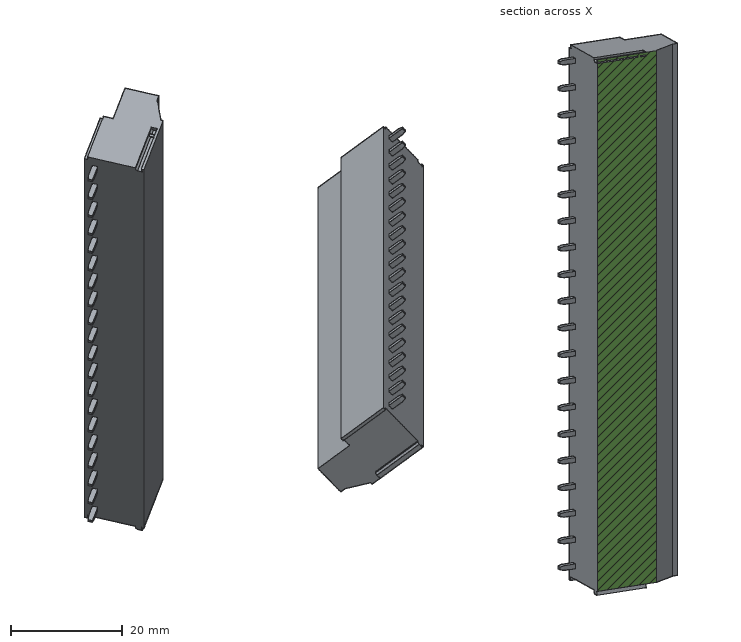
import cadquery as cq

pole_count = 20
total_height = 100.6
tongue_depth = 0.7
housing_height = total_height - tongue_depth
pitch = housing_height / pole_count
housing_width = 11.2
total_depth = 20.5
pin_length = 3.1
housing_depth = total_depth - pin_length
shoulder_depth = 10.0
shoulder_width = 2.4
nose_right = 8.8
slope_start_depth = 16.4
ledge_depth = 12.1
ledge_width = 0.4

pin_x = 2.0
pin_width = 1.0
pin_thickness = 0.9
pin_tip_length = 0.8
pin_tip_width = 0.8
pin_tip_thickness = 0.5

edge_tongue_width = 0.6
hook_left = 9.6
hook_right = 10.7
hook_overhang = 0.2
hook_chamfer_width = 0.4
hook_chamfer_height = 0.3
detent_start = 8.3
detent_length = 0.6
detent_height = 0.2


def rail(section, start=0.0, length=shoulder_depth):
    """Extrude an XZ section towards +Y, beginning at the given Y."""
    plane = cq.Workplane("XZ", origin=(0, start, 0))
    return plane.polyline(section).close().extrude(-length)


def edge_section(base_z):
    """Section of the coupling step along the -X edge."""
    return [
        (0, base_z),
        (edge_tongue_width, base_z),
        (edge_tongue_width, base_z + tongue_depth),
        (0, base_z + tongue_depth),
    ]


def hook_section(base_z):
    """Section of the coupling hook: undercut on the +X flank, chamfered on the other."""
    return [
        (hook_left + hook_chamfer_width, base_z),
        (hook_right + hook_overhang, base_z),
        (hook_right, base_z + tongue_depth),
        (hook_left, base_z + tongue_depth),
        (hook_left, base_z + hook_chamfer_height),
    ]


def detent_section(base_z):
    """Section of the low rib that spans the hook rebate from flank to flank."""
    rise = detent_height
    left_shift = hook_chamfer_width * (1 - rise / hook_chamfer_height)
    right_shift = hook_overhang * (1 - rise / tongue_depth)
    return [
        (hook_left + hook_chamfer_width, base_z),
        (hook_right + hook_overhang, base_z),
        (hook_right + right_shift, base_z + rise),
        (hook_left + left_shift, base_z + rise),
    ]


def make_pin(z):
    """Build one pin centred on height z: a straight shank and a tapered tip."""
    shank_length = pin_length - pin_tip_length
    plane = cq.Workplane("XZ").center(pin_x, z)
    shank = plane.rect(pin_width, pin_thickness).extrude(shank_length)
    tip = (
        plane.workplane(offset=shank_length)
        .rect(pin_width, pin_thickness)
        .workplane(offset=pin_tip_length)
        .rect(pin_tip_width, pin_tip_thickness)
        .loft()
    )
    return shank.union(tip)


profile = [
    (0, 0),
    (housing_width, 0),
    (housing_width, ledge_depth),
    (housing_width - ledge_width, ledge_depth),
    (nose_right, slope_start_depth),
    (nose_right, housing_depth),
    (shoulder_width, housing_depth),
    (shoulder_width, shoulder_depth),
    (0, shoulder_depth),
]
base = cq.Workplane("XY").workplane(offset=tongue_depth)
result = base.polyline(profile).close().extrude(housing_height)

rebate_floor = total_height - tongue_depth
for section in (edge_section, hook_section):
    result = result.cut(rail(section(rebate_floor)))
    result = result.union(rail(section(0)))

result = result.union(rail(detent_section(rebate_floor), detent_start, detent_length))

for pole in range(pole_count):
    result = result.union(make_pin(tongue_depth + (pole + 0.5) * pitch))